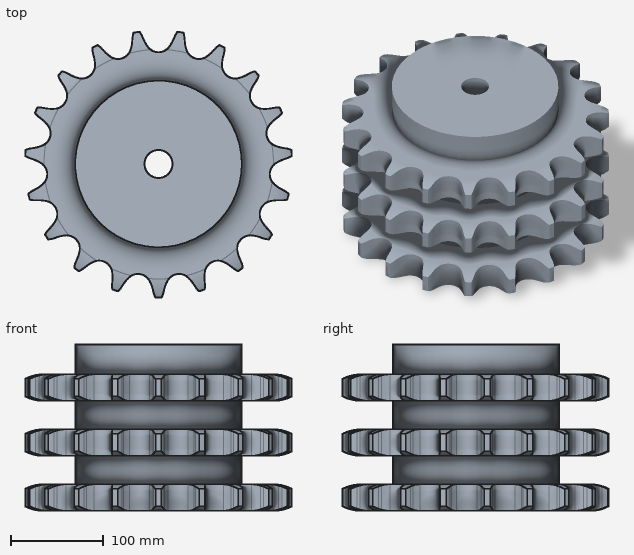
import cadquery as cq
import math


overall_width = 288.5
hub_diameter = 180.0
hub_length = 180.0
bore_diameter = 30.0
tooth_count = 19
chain_pitch = 44.5
roller_diameter = 28.0
seat_radius = 14.0
strand_count = 3
strand_spacing = 59.5
tooth_width = 28.8
rim_flat_radius = 124.0
side_relief_radius = chain_pitch

half_pitch_angle = math.pi / tooth_count
seat_end_angle = math.radians(35 + 60 / tooth_count)
lower_flank_sweep = math.radians(18 - 56 / tooth_count)
upper_flank_angle = seat_end_angle - lower_flank_sweep
lower_flank_offset = 0.8 * roller_diameter
upper_flank_offset = 1.4 * roller_diameter
lower_flank_radius = lower_flank_offset + seat_radius
pitch_radius = chain_pitch / (2 * math.sin(half_pitch_angle))


def polar(center, radius, angle):
    """Point at a radius and angle around a center."""
    return (center[0] + radius * math.cos(angle), center[1] + radius * math.sin(angle))


seat_center = (0, pitch_radius)
lower_center = polar(seat_center, lower_flank_offset, math.pi - seat_end_angle)
upper_center = polar(seat_center, upper_flank_offset, -half_pitch_angle)
seat_bottom = (0, pitch_radius - seat_radius)
seat_end = polar(seat_center, seat_radius, -seat_end_angle)
lower_middle = polar(lower_center, lower_flank_radius, -(seat_end_angle + upper_flank_angle) / 2)
lower_end = polar(lower_center, lower_flank_radius, -upper_flank_angle)

upper_flank_radius = (
    (upper_center[0] - lower_end[0]) * math.cos(upper_flank_angle)
    - (upper_center[1] - lower_end[1]) * math.sin(upper_flank_angle)
)
upper_start_angle = math.pi - upper_flank_angle
upper_start = polar(upper_center, upper_flank_radius, upper_start_angle)

gap_tilt = half_pitch_angle / 2
corner_arc_x = upper_center[1] * math.cos(gap_tilt) + upper_center[0] * math.sin(gap_tilt)
corner_arc_y = upper_center[0] * math.cos(gap_tilt) - upper_center[1] * math.sin(gap_tilt)
corner_x = overall_width / 2
corner_y = corner_arc_y - math.sqrt(upper_flank_radius**2 - (corner_x - corner_arc_x) ** 2)
tip_radius = math.hypot(corner_x, corner_y)

cut_overrun = 3.0
gap_top = tip_radius + cut_overrun
upper_end_angle = math.pi - math.asin((gap_top - upper_center[1]) / upper_flank_radius)
upper_end = polar(upper_center, upper_flank_radius, upper_end_angle)
upper_middle = polar(upper_center, upper_flank_radius, (upper_start_angle + upper_end_angle) / 2)


def mirrored(point):
    """Point reflected across the Y axis."""
    return (-point[0], point[1])


def tooth_gap():
    """Cutter for one roller seat with its two flanks."""
    return (
        cq.Workplane("XY")
        .moveTo(*upper_end)
        .threePointArc(upper_middle, upper_start)
        .lineTo(*lower_end)
        .threePointArc(lower_middle, seat_end)
        .threePointArc(seat_bottom, mirrored(seat_end))
        .threePointArc(mirrored(lower_middle), mirrored(lower_end))
        .lineTo(*mirrored(upper_start))
        .threePointArc(mirrored(upper_middle), mirrored(upper_end))
        .close()
        .extrude(tooth_width)
    )


def rim_blank():
    """Toothless disc whose rim narrows toward the tip along two arcs."""
    relief_angle = math.asin((tip_radius - rim_flat_radius) / side_relief_radius)
    bottom_center = (rim_flat_radius, side_relief_radius)
    top_center = (rim_flat_radius, tooth_width - side_relief_radius)
    bottom_angle = -math.pi / 2
    top_angle = math.pi / 2
    bottom_middle = polar(bottom_center, side_relief_radius, bottom_angle + relief_angle / 2)
    bottom_tip = polar(bottom_center, side_relief_radius, bottom_angle + relief_angle)
    top_middle = polar(top_center, side_relief_radius, top_angle - relief_angle / 2)
    top_tip = polar(top_center, side_relief_radius, top_angle - relief_angle)
    return (
        cq.Workplane("XZ")
        .lineTo(rim_flat_radius, 0)
        .threePointArc(bottom_middle, bottom_tip)
        .lineTo(*top_tip)
        .threePointArc(top_middle, (rim_flat_radius, tooth_width))
        .lineTo(0, tooth_width)
        .close()
        .revolve(360, (0, 0, 0), (0, 1, 0))
    )


def toothed_disc():
    """One sprocket strand with a tooth pointing along -Y."""
    disc = rim_blank()
    gap = tooth_gap()
    for index in range(tooth_count):
        turn = 360 * index / tooth_count
        disc = disc.cut(gap.rotate((0, 0, 0), (0, 0, 1), turn))
    return disc


result = cq.Workplane("XY").circle(hub_diameter / 2).extrude(hub_length)
strand = toothed_disc()
for level in range(strand_count):
    result = result.union(strand.translate((0, 0, level * strand_spacing)))
bore = cq.Workplane("XY").circle(bore_diameter / 2).extrude(hub_length)
result = result.cut(bore)